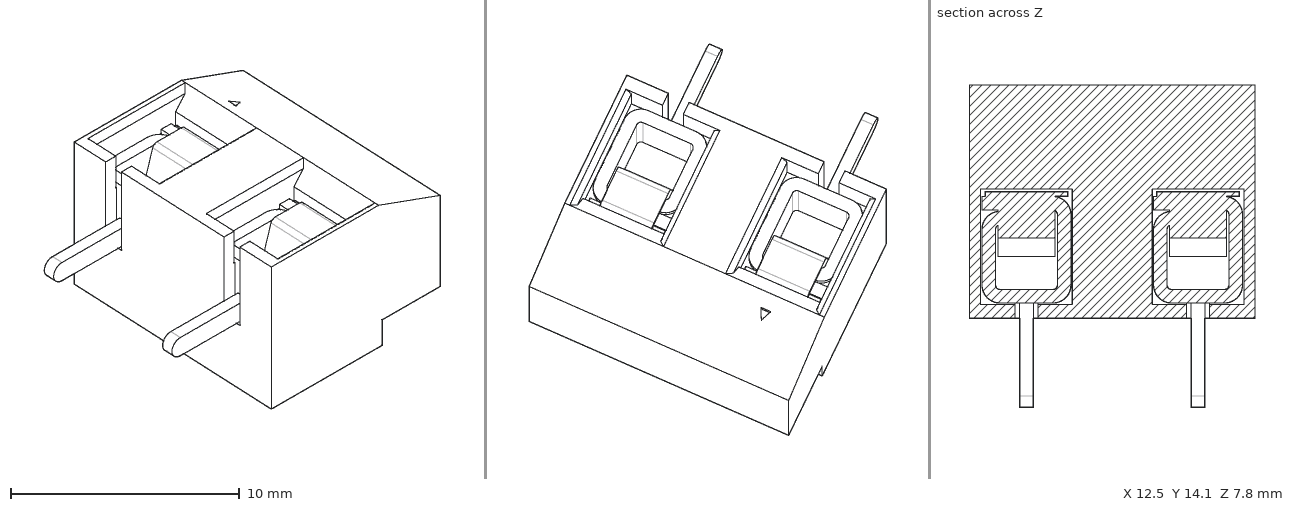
import cadquery as cq

WIDTH = 12.5
DEPTH = 10.2
HEIGHT = 7.8
BACK_HEIGHT = 6.4
SLOPE_START_Y = 6.48
STEP_Y = 6.7
STEP_HEIGHT = 1.4
POLE_PITCH = 7.5
POLE_CENTERS = [-POLE_PITCH / 2, POLE_PITCH / 2]

PIN_WIDTH = 0.6
PIN_HEIGHT = 1.0
PIN_BOTTOM = 3.5
PIN_LENGTH = 3.9
SLOT_WIDTH = 1.0

POCKET_WIDTH = 4.0
POCKET_FRONT_Y = 0.61
POCKET_BACK_Y = 5.65
POCKET_FLOOR = 6.05
POCKET_LEAD_IN = 0.26
LEAD_IN_BOTTOM = 7.48
BACK_SLOPE_BOTTOM = 6.78

CAGE_WIDTH = 3.9
CAGE_FRONT_Y = 0.66
CAGE_BACK_Y = 5.33
CAGE_TOP = 6.32
CAGE_WALL = 0.6
CAGE_RADIUS = 0.8
CAGE_INNER_RADIUS = 0.2
LAP_GAP = 0.05

PLATE_WIDTH = 3.62
PLATE_BACK_Y = 5.54
PLATE_TOP = 6.2

WEDGE_WIDTH = 2.5
WEDGE_TOP = 6.5
WEDGE_TOE_Y = 2.71
WEDGE_NOSE_Y = 3.61
WEDGE_REAR_RADIUS = 0.25
WEDGE_NOSE_RADIUS = 0.27

MARK_WIDTH = 0.46
MARK_FRONT_Y = 7.16
MARK_BACK_Y = 7.64
MARK_DEPTH = 0.2


def box(x_min, x_max, y_min, y_max, z_min, z_max):
    size = (x_max - x_min, y_max - y_min, z_max - z_min)
    return cq.Workplane("XY").box(*size, centered=False).translate((x_min, y_min, z_min))


def centered_box(x, width, y_min, y_max, z_min, z_max):
    return box(x - width / 2, x + width / 2, y_min, y_max, z_min, z_max)


def side_profile(x, width, points):
    """Extrude a (Y, Z) outline across X, centred on x."""
    sketch = cq.Workplane("YZ", origin=(x, 0, 0)).polyline(points).close()
    return sketch.extrude(width / 2, both=True)


def housing():
    return side_profile(0, WIDTH, [
        (0, 0),
        (STEP_Y, 0),
        (STEP_Y, STEP_HEIGHT),
        (DEPTH, STEP_HEIGHT),
        (DEPTH, BACK_HEIGHT),
        (SLOPE_START_Y, HEIGHT),
        (0, HEIGHT),
    ])


def pocket(x):
    """Straight well with a sloped back wall and flared side edges."""
    well = side_profile(x, POCKET_WIDTH, [
        (POCKET_FRONT_Y, POCKET_FLOOR),
        (POCKET_BACK_Y, POCKET_FLOOR),
        (POCKET_BACK_Y, BACK_SLOPE_BOTTOM),
        (SLOPE_START_Y, HEIGHT),
        (POCKET_FRONT_Y, HEIGHT),
    ])
    half = POCKET_WIDTH / 2
    flare = (
        cq.Workplane("XZ", origin=(x, POCKET_FRONT_Y, 0))
        .polyline([
            (-half, LEAD_IN_BOTTOM),
            (half, LEAD_IN_BOTTOM),
            (half + POCKET_LEAD_IN, HEIGHT),
            (-half - POCKET_LEAD_IN, HEIGHT),
        ])
        .close()
        .extrude(POCKET_FRONT_Y - SLOPE_START_Y)
    )
    back_slope_limit = side_profile(x, WIDTH, [
        (POCKET_FRONT_Y, BACK_SLOPE_BOTTOM),
        (POCKET_BACK_Y, BACK_SLOPE_BOTTOM),
        (SLOPE_START_Y, HEIGHT),
        (POCKET_FRONT_Y, HEIGHT),
    ])
    return well.union(flare.intersect(back_slope_limit))


def slot(x):
    return centered_box(x, SLOT_WIDTH, 0, CAGE_FRONT_Y, PIN_BOTTOM, HEIGHT)


def cage(x):
    """Solid outer shape of the rolled cage, with the lapped strip end."""
    left = x - CAGE_WIDTH / 2
    right = x + CAGE_WIDTH / 2
    lap_y = CAGE_BACK_Y - CAGE_WALL - LAP_GAP
    r = CAGE_RADIUS
    return (
        cq.Workplane("XY", origin=(0, 0, PIN_BOTTOM))
        .moveTo(left + r, CAGE_FRONT_Y)
        .lineTo(right - r, CAGE_FRONT_Y)
        .radiusArc((right, CAGE_FRONT_Y + r), -r)
        .lineTo(right, CAGE_BACK_Y - r)
        .radiusArc((right - r, CAGE_BACK_Y), -r)
        .lineTo(left, CAGE_BACK_Y)
        .lineTo(left, lap_y + LAP_GAP)
        .lineTo(left + r, lap_y + LAP_GAP)
        .lineTo(left + r, lap_y)
        .radiusArc((left, lap_y - r), -r)
        .lineTo(left, CAGE_FRONT_Y + r)
        .radiusArc((left + r, CAGE_FRONT_Y), -r)
        .close()
        .extrude(CAGE_TOP - PIN_BOTTOM)
    )


def cage_opening(x):
    """Inside of the cage; the left half is shortened by the lapped strip end."""
    half = CAGE_WIDTH / 2 - CAGE_WALL
    front = CAGE_FRONT_Y + CAGE_WALL
    back = CAGE_BACK_Y - CAGE_WALL
    lapped_back = back - LAP_GAP - CAGE_WALL
    wide = box(x - half, x + half, front, lapped_back, PIN_BOTTOM, CAGE_TOP)
    deep = box(x, x + half, front, back, PIN_BOTTOM, CAGE_TOP)
    wide = wide.edges("|Z").fillet(CAGE_INNER_RADIUS)
    deep = deep.edges("|Z").fillet(CAGE_INNER_RADIUS)
    return wide.union(deep)


def backing_plate(x):
    return centered_box(x, PLATE_WIDTH, CAGE_BACK_Y, PLATE_BACK_Y, POCKET_FLOOR, PLATE_TOP)


def wedge(x):
    """Steep-fronted block standing on the cage floor, with a rounded nose and rear."""
    body = side_profile(x, WEDGE_WIDTH, [
        (WEDGE_TOE_Y, PIN_BOTTOM),
        (PLATE_BACK_Y, PIN_BOTTOM),
        (PLATE_BACK_Y, WEDGE_TOP),
        (WEDGE_NOSE_Y, WEDGE_TOP),
    ])
    nose = cq.selectors.NearestToPointSelector((x, WEDGE_NOSE_Y, WEDGE_TOP))
    rear = cq.selectors.NearestToPointSelector((x, PLATE_BACK_Y, WEDGE_TOP))
    return body.edges(nose).fillet(WEDGE_NOSE_RADIUS).edges(rear).fillet(WEDGE_REAR_RADIUS)


def pin(x):
    """Flat pin reaching the cage front, with a full-round tip."""
    tip_y = -PIN_LENGTH + PIN_HEIGHT / 2
    middle_z = PIN_BOTTOM + PIN_HEIGHT / 2
    bar = centered_box(x, PIN_WIDTH, tip_y, CAGE_FRONT_Y, PIN_BOTTOM, PIN_BOTTOM + PIN_HEIGHT)
    tip = (
        cq.Workplane("YZ", origin=(x, 0, 0))
        .center(tip_y, middle_z)
        .circle(PIN_HEIGHT / 2)
        .extrude(PIN_WIDTH / 2, both=True)
    )
    return bar.union(tip)


def pole_mark(x):
    """Triangle sunk into the sloped top, its floor parallel to the slope."""
    prism = (
        cq.Workplane("XY")
        .polyline([
            (x - MARK_WIDTH / 2, MARK_FRONT_Y),
            (x + MARK_WIDTH / 2, MARK_FRONT_Y),
            (x, MARK_BACK_Y),
        ])
        .close()
        .extrude(HEIGHT)
    )
    return prism.cut(housing().translate((0, 0, -MARK_DEPTH)))


result = housing().cut(pole_mark(POLE_CENTERS[0]))
for center in POLE_CENTERS:
    result = result.cut(pocket(center)).cut(slot(center))
    result = result.union(cage(center)).cut(cage_opening(center))
    result = result.union(backing_plate(center)).union(wedge(center)).union(pin(center))